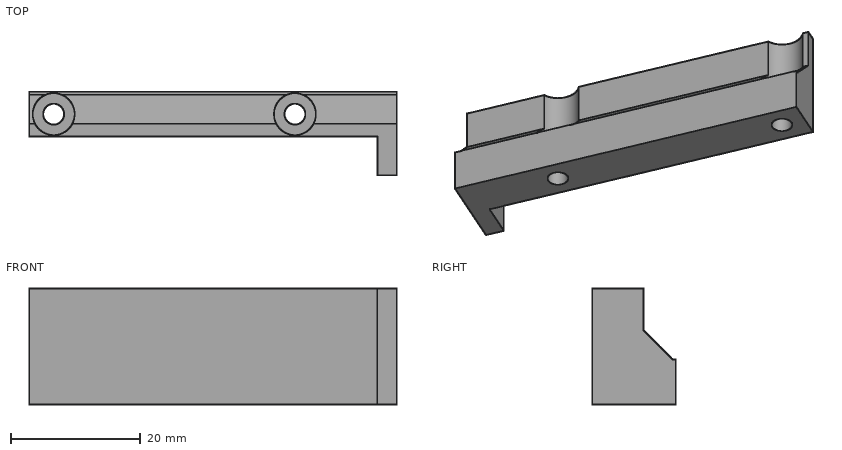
import cadquery as cq

length = 57.0
depth = 13.0
height = 18.0

wall_front = 6.0
wall_back = 8.0
ledge_height = 7.0
ledge_width = 0.5
ramp_run = depth - ledge_width - wall_back
ramp_top = ledge_height + ramp_run

hook_thickness = 3.0

hole_diameter = 3.2
counterbore_diameter = 6.5
counterbore_depth = 3.0
counterbore_floor = ledge_height - counterbore_depth
first_hole_x = 3.8
hole_spacing = 37.4
hole_count = 2
hole_y = (wall_front + depth) / 2


def make_rail():
    """Upright wall with a ramped foot behind it, along the full length."""
    return (
        cq.Workplane("YZ")
        .moveTo(wall_front, 0)
        .lineTo(depth, 0)
        .lineTo(depth, ledge_height)
        .lineTo(depth - ledge_width, ledge_height)
        .lineTo(wall_back, ramp_top)
        .lineTo(wall_back, height)
        .lineTo(wall_front, height)
        .close()
        .extrude(length)
    )


def make_hook():
    """Full-height plate running forward from the wall at the +X end."""
    return (
        cq.Workplane("XY", origin=(length - hook_thickness, 0, 0))
        .box(hook_thickness, wall_back, height, centered=False)
    )


def make_screw_cut(x):
    """Through hole with a counterbore that is open to the top."""
    hole = cq.Workplane("XY").center(x, hole_y).circle(hole_diameter / 2).extrude(height)
    counterbore = (
        cq.Workplane("XY", origin=(0, 0, counterbore_floor))
        .center(x, hole_y)
        .circle(counterbore_diameter / 2)
        .extrude(height - counterbore_floor)
    )
    return hole.union(counterbore)


result = make_rail().union(make_hook())
for index in range(hole_count):
    result = result.cut(make_screw_cut(first_hole_x + index * hole_spacing))